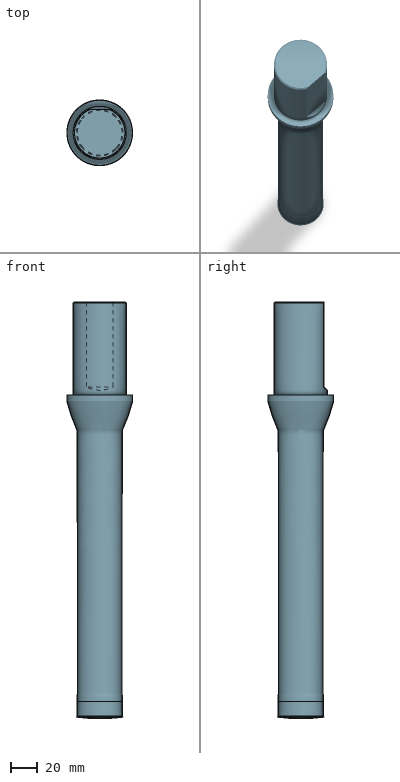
import cadquery as cq
import math

total_length = 313.99
shank_length = 70.0
flange_thickness = 5.0
tip_bottom_z = shank_length - total_length
flange_bottom_z = -flange_thickness
neck_top_z = -30.0
taper_top_z = -35.7
taper_bottom_z = -115.5
head_cone_top_z = -225.0
head_cone_bottom_z = -227.5
joint_z = -231.0

shank_radius = 39.99 / 2
flange_radius = 49.5 / 2
head_radius = 34.12 / 2
neck_radius = head_radius
body_radius = 33.77 / 2
cutting_radius = 35.0 / 2

transition_points = [(20.0, -19.5), (17.6, -24.7)]
transition_tangents = [(-0.3, -1.0), (0.0, -1.0)]

shank_chamfer = 1.0

flat_y = 17.4
flat_bottom_z = 6.0
flat_cut_clearance = 1.0

rim_flare_height = 1.0
dome_height = 1.2
rim_z = tip_bottom_z + dome_height


def revolve_about_z(profile):
    return profile.close().revolve(360, (0, 0, 0), (0, 1, 0))


def make_shank_flat():
    outside_y = shank_radius + flat_cut_clearance
    run_out_z = flat_bottom_z - (outside_y - flat_y)
    return (
        cq.Workplane("YZ")
        .moveTo(flat_y, shank_length)
        .lineTo(flat_y, flat_bottom_z)
        .lineTo(outside_y, run_out_z)
        .lineTo(outside_y, shank_length)
        .close()
        .extrude(shank_radius, both=True)
    )


def make_holder():
    profile = (
        cq.Workplane("XZ")
        .moveTo(0, shank_length)
        .lineTo(shank_radius - shank_chamfer, shank_length)
        .lineTo(shank_radius, shank_length - shank_chamfer)
        .lineTo(shank_radius, 0)
        .lineTo(flange_radius, 0)
        .lineTo(flange_radius, flange_bottom_z)
        .spline(transition_points + [(neck_radius, neck_top_z)], transition_tangents, includeCurrent=True)
        .lineTo(neck_radius, taper_top_z)
        .lineTo(body_radius, taper_bottom_z)
        .lineTo(body_radius, head_cone_top_z)
        .lineTo(head_radius, head_cone_bottom_z)
        .lineTo(head_radius, joint_z)
        .lineTo(0, joint_z)
    )
    return revolve_about_z(profile).cut(make_shank_flat())


def make_cutting_tip():
    dome_radius = (cutting_radius**2 + dome_height**2) / (2 * dome_height)
    half_angle = math.asin(cutting_radius / dome_radius) / 2
    dome_middle = (
        dome_radius * math.sin(half_angle),
        tip_bottom_z + dome_radius * (1 - math.cos(half_angle)),
    )
    profile = (
        cq.Workplane("XZ")
        .moveTo(0, joint_z)
        .lineTo(head_radius, joint_z)
        .lineTo(head_radius, rim_z + rim_flare_height)
        .lineTo(cutting_radius, rim_z)
        .threePointArc(dome_middle, (0, tip_bottom_z))
    )
    return revolve_about_z(profile)


holder = make_holder()
cutting_tip = make_cutting_tip()

result = cq.Compound.makeCompound([holder.val(), cutting_tip.val()])